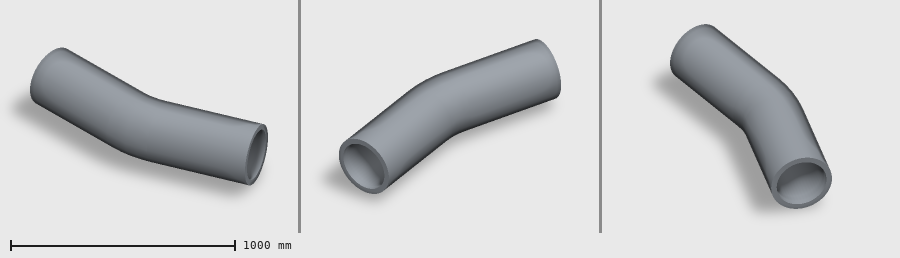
import cadquery as cq
import math

outer_diameter = 280.0
inner_diameter = 229.2
bend_angle = 22.0
bend_radius = 1.5 * outer_diameter
end_to_corner = 550.0

angle = math.radians(bend_angle)
leg_length = end_to_corner - bend_radius * math.tan(angle / 2)


def centreline_bend_point(turn):
    """Point on the centreline arc after turning by the given angle in radians."""
    return (
        leg_length + bend_radius * math.sin(turn),
        bend_radius * (1 - math.cos(turn)),
    )


def make_centreline():
    """Straight leg, bend arc and second straight leg."""
    bend_start = centreline_bend_point(0)
    bend_middle = centreline_bend_point(angle / 2)
    bend_end = centreline_bend_point(angle)
    far_end = (
        bend_end[0] + leg_length * math.cos(angle),
        bend_end[1] + leg_length * math.sin(angle),
    )
    return (
        cq.Workplane("XY")
        .lineTo(*bend_start)
        .threePointArc(bend_middle, bend_end)
        .lineTo(*far_end)
    )


def make_pipe():
    """Sweep the annular pipe section along the centreline."""
    section = cq.Workplane("YZ").circle(outer_diameter / 2).circle(inner_diameter / 2)
    return section.sweep(make_centreline())


result = make_pipe()